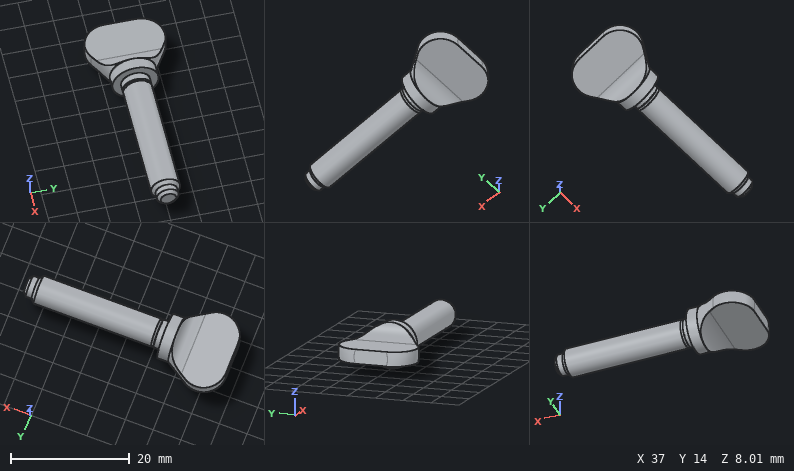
import cadquery as cq
import math

length = 37.0

corner_radius = 4.0
corner_offset = 3.0
grip_length = 10.0
grip_thickness = 2.5
flat_length = 7.0
scoop_radius = grip_length - flat_length

collar_radius = 4.0
collar_end = 12.0
shaft_radius = 2.5
neck_end = 13.2
groove_depth = 0.45

shaft_end = 34.78
tip_radius = 1.9
tip_chamfer = 0.55


def make_turned_body():
    """Revolve the half outline about the X axis."""
    run = grip_length - corner_radius
    rise = collar_radius - corner_offset
    tangent_angle = math.atan2(rise, run) + math.acos(corner_radius / math.hypot(run, rise))

    def corner_point(angle):
        return (
            corner_radius + corner_radius * math.cos(angle),
            corner_offset + corner_radius * math.sin(angle),
        )

    outline = (
        cq.Workplane("XY")
        .lineTo(0, corner_offset)
        .threePointArc(corner_point((math.pi + tangent_angle) / 2), corner_point(tangent_angle))
        .lineTo(grip_length, collar_radius)
        .lineTo(collar_end, collar_radius)
        .lineTo(collar_end, shaft_radius)
        .lineTo(neck_end, shaft_radius)
        .lineTo(neck_end, shaft_radius - groove_depth)
        .lineTo(neck_end + groove_depth, shaft_radius)
        .lineTo(shaft_end, shaft_radius)
        .lineTo(shaft_end + shaft_radius - tip_radius, tip_radius)
        .lineTo(length - tip_chamfer, tip_radius)
        .lineTo(length, tip_radius - tip_chamfer)
        .lineTo(length, 0)
        .close()
    )
    return outline.revolve(360, (0, 0, 0), (1, 0, 0))


def make_upper_relief():
    """Material removed above the grip: a flat that scoops up to the collar."""
    half_thickness = grip_thickness / 2
    grip_reach = corner_offset + corner_radius
    clearance = 0.37
    top = grip_reach + clearance
    scoop_mid = (
        flat_length + scoop_radius * math.sin(math.pi / 4),
        half_thickness + scoop_radius * (1 - math.cos(math.pi / 4)),
    )
    return (
        cq.Workplane("XZ")
        .moveTo(-clearance, half_thickness)
        .lineTo(flat_length, half_thickness)
        .threePointArc(scoop_mid, (grip_length, half_thickness + scoop_radius))
        .lineTo(grip_length, top)
        .lineTo(-clearance, top)
        .close()
        .extrude(top, both=True)
    )


upper_relief = make_upper_relief()
lower_relief = upper_relief.mirror("XY")
result = make_turned_body().cut(upper_relief).cut(lower_relief)